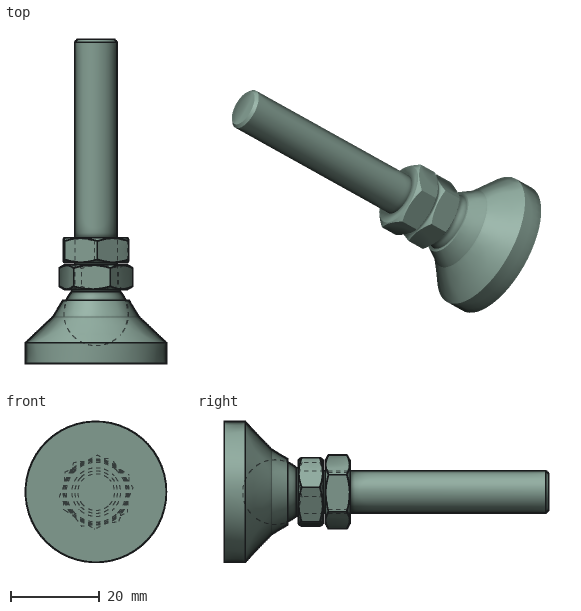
import cadquery as cq
import math

total_length = 73

pad_diameter = 31.8
pad_rim_height = 4.7
pad_waist_radius = 9.65
pad_waist_height = 10.6
pad_top_radius = 7.45
pad_top_height = 14.25

ball_radius = 7.3
ball_center_height = 11.4
neck_radius = 5.5
neck_top_height = 16.65
stud_diameter = 9.6
stud_radius = stud_diameter / 2
stud_end_chamfer = 0.65

nut_across_flats = 14.45
nut_thickness = 5.6
nut_gap = 0.45
nut_face_radius = 7.0
nut_chamfer_angle = 30
lower_nut_turn = 7
upper_nut_turn = 27.7
nut_placements = [
    (neck_top_height, lower_nut_turn),
    (neck_top_height + nut_thickness + nut_gap, upper_nut_turn),
]


def revolve_about_y(profile):
    """Turn a closed XY profile a full circle about the Y axis."""
    return profile.revolve(360, (0, 0, 0), (0, 1, 0))


def make_ball():
    return cq.Workplane("XY").sphere(ball_radius).translate((0, ball_center_height, 0))


def make_pad():
    """Flared round pad with a spherical socket that holds the ball."""
    pad_radius = pad_diameter / 2
    profile = (
        cq.Workplane("XY")
        .lineTo(pad_radius, 0)
        .lineTo(pad_radius, pad_rim_height)
        .lineTo(pad_waist_radius, pad_waist_height)
        .lineTo(pad_top_radius, pad_top_height)
        .lineTo(0, pad_top_height)
        .close()
    )
    return revolve_about_y(profile).cut(make_ball())


def make_ball_stud():
    """Ball, short neck and long stud with a chamfered end, turned as one piece."""
    ball_bottom = ball_center_height - ball_radius
    neck_base_height = ball_center_height + math.sqrt(ball_radius**2 - neck_radius**2)
    profile = (
        cq.Workplane("XY")
        .moveTo(0, ball_bottom)
        .threePointArc((ball_radius, ball_center_height), (neck_radius, neck_base_height))
        .lineTo(neck_radius, neck_top_height)
        .lineTo(stud_radius, neck_top_height)
        .lineTo(stud_radius, total_length - stud_end_chamfer)
        .lineTo(stud_radius - stud_end_chamfer, total_length)
        .lineTo(0, total_length)
        .close()
    )
    return revolve_about_y(profile)


def make_nut(base_height, turn):
    """Hex nut with both ends coned off; one corner is turned from +X toward +Z by turn degrees."""
    corner_radius = nut_across_flats / 2 / math.cos(math.pi / 6)
    chamfer_drop = (corner_radius - nut_face_radius) * math.tan(math.radians(nut_chamfer_angle))
    hexagon = (
        cq.Workplane("XZ")
        .polygon(6, 2 * corner_radius)
        .extrude(-nut_thickness)
    )
    envelope = revolve_about_y(
        cq.Workplane("XY")
        .moveTo(stud_radius, 0)
        .lineTo(nut_face_radius, 0)
        .lineTo(corner_radius, chamfer_drop)
        .lineTo(corner_radius, nut_thickness - chamfer_drop)
        .lineTo(nut_face_radius, nut_thickness)
        .lineTo(stud_radius, nut_thickness)
        .close()
    )
    nut = hexagon.intersect(envelope)
    return nut.rotate((0, 0, 0), (0, 1, 0), -turn).translate((0, base_height, 0))


pad = make_pad()
ball_stud = make_ball_stud()
nuts = [make_nut(base_height, turn) for base_height, turn in nut_placements]

result = cq.Compound.makeCompound([pad.val(), ball_stud.val(), *[nut.val() for nut in nuts]])